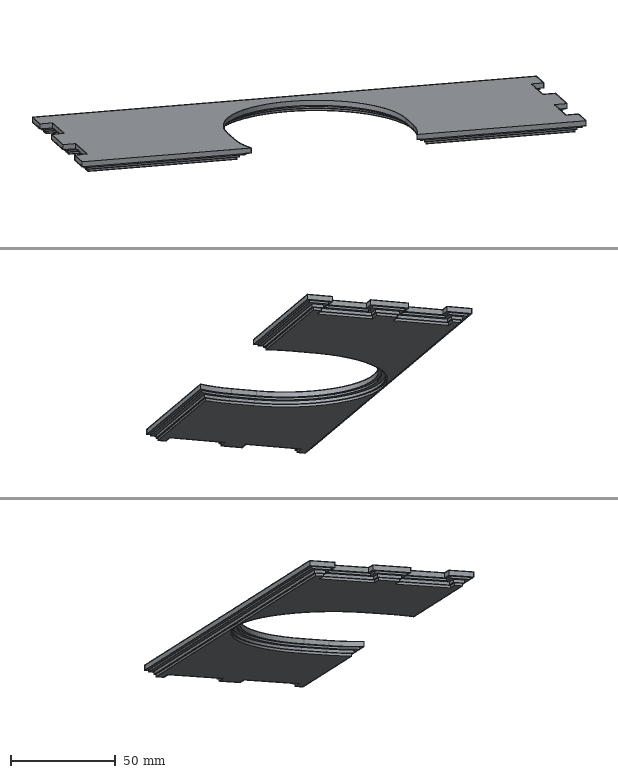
import cadquery as cq

width = 82.5
length = 251.5
notch_width = 19.0
notch_depth = 6.3
notch_spacing = 2 * notch_width

cutout_radius = 44.5
cutout_margin = 8.8
cutout_center_distance = 12.5

plate_layer = (2.5, 0.0)
backing_layers = [(1.0, 1.5), (1.5, 3.5), (1.3, 4.3)]


def layer_outline(thickness, inset):
    """Plate outline shrunk by inset on every edge, standing on z = 0."""
    blank = cq.Workplane("XY").rect(width - 2 * inset, length - 2 * inset).extrude(thickness)
    notch_centers = [
        (side * notch_spacing / 2, end * length / 2) for side in (-1, 1) for end in (-1, 1)
    ]
    notches = (
        cq.Workplane("XY")
        .pushPoints(notch_centers)
        .rect(notch_width + 2 * inset, 2 * (notch_depth + inset))
        .extrude(thickness)
    )
    cutout_start = -width / 2 + cutout_margin + cutout_radius
    cutout = (
        cq.Workplane("XY")
        .center(cutout_start + cutout_center_distance / 2, 0)
        .slot2D(cutout_center_distance + 2 * (cutout_radius + inset), 2 * (cutout_radius + inset))
        .extrude(thickness)
    )
    return blank.cut(notches).cut(cutout)


def stack_layers(layers):
    """Fuse the layers, hanging each one below the last from z = 0."""
    stack = cq.Workplane("XY")
    bottom = 0.0
    for thickness, inset in layers:
        bottom -= thickness
        stack = stack.union(layer_outline(thickness, inset).translate((0, 0, bottom)))
    return stack


result = stack_layers([plate_layer] + backing_layers)